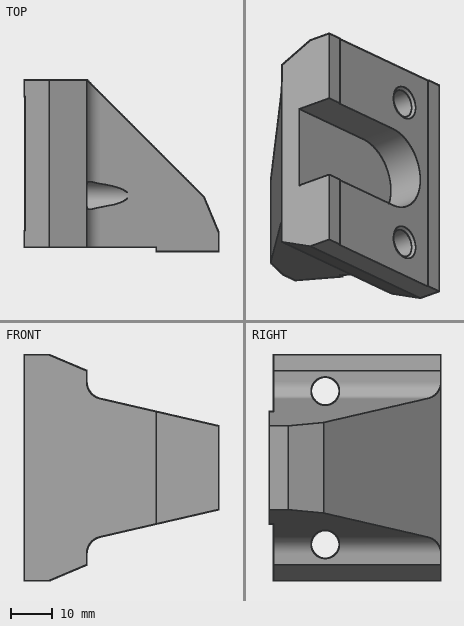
import cadquery as cq
import math

length = 46.5
depth = 40.0
height = 54.0

flange_thickness = 15.0
flange_edge_flat = 6.0
flange_bevel_angle = 23.0

nose_height = 20.0
nose_taper_angle = 13.0
root_radius = 4.0

bevel_corner_x = 43.0
back_bevel_angle = 45.0
tip_bevel_angle = 22.5

pad_length = 15.0
pad_thickness = 1.0

relief_depth = 0.2
contact_strip_width = 4.0

slot_width = 20.0
slot_depth = 9.5
slot_end_y = 6.7

hole_diameter = 6.65
countersink_diameter = 8.0
hole_y = 12.4
hole_spacing = 36.6


def slope(angle):
    return math.tan(math.radians(angle))


def make_profile():
    """Flange and nose outline, extruded over the full depth including the pad."""
    edge_z = height / 2
    bevel_z = edge_z - (flange_thickness - flange_edge_flat) * slope(flange_bevel_angle)
    nose_z = nose_height / 2
    root_z = nose_z + (length - flange_thickness) * slope(nose_taper_angle)
    upper_half = [
        (0, edge_z),
        (flange_edge_flat, edge_z),
        (flange_thickness, bevel_z),
        (flange_thickness, root_z),
        (length, nose_z),
    ]
    lower_half = [(x, -z) for x, z in reversed(upper_half)]
    body = (
        cq.Workplane("XZ", origin=(0, depth, 0))
        .polyline(upper_half + lower_half)
        .close()
        .extrude(depth + pad_thickness)
    )
    margin = root_radius / 2
    root_corners = cq.selectors.BoxSelector(
        (flange_thickness - margin, -pad_thickness, -root_z - margin),
        (flange_thickness + margin, depth, root_z + margin),
    )
    return body.edges("|Y").edges(root_corners).fillet(root_radius)


def make_plan():
    """Outline seen along Z: bevelled far side, front pad and relieved mounting face."""
    bevel_corner_y = depth - (bevel_corner_x - flange_thickness) * slope(back_bevel_angle)
    tip_y = bevel_corner_y - (length - bevel_corner_x) / slope(tip_bevel_angle)
    pad_start_x = length - pad_length
    outline = [
        (0, 0),
        (pad_start_x, 0),
        (pad_start_x, -pad_thickness),
        (length, -pad_thickness),
        (length, tip_y),
        (bevel_corner_x, bevel_corner_y),
        (flange_thickness, depth),
        (0, depth),
        (0, depth - contact_strip_width),
        (relief_depth, depth - contact_strip_width),
        (relief_depth, contact_strip_width),
        (0, contact_strip_width),
    ]
    return cq.Workplane("XY").polyline(outline).close().extrude(height / 2, both=True)


def make_slot():
    radius = slot_width / 2
    center_y = slot_end_y + radius
    return (
        cq.Workplane("YZ")
        .moveTo(depth, radius)
        .lineTo(center_y, radius)
        .threePointArc((slot_end_y, 0), (center_y, -radius))
        .lineTo(depth, -radius)
        .close()
        .extrude(slot_depth)
    )


def make_hole(z):
    """Countersunk hole, running on as a groove in the sloping side of the nose."""
    radius = hole_diameter / 2
    mouth_radius = countersink_diameter / 2
    countersink_end_x = relief_depth + mouth_radius - radius
    half_section = [
        (0, 0),
        (0, mouth_radius),
        (relief_depth, mouth_radius),
        (countersink_end_x, radius),
        (length, radius),
        (length, 0),
    ]
    return (
        cq.Workplane("XY")
        .polyline(half_section)
        .close()
        .revolve(360, (0, 0), (1, 0))
        .translate((0, hole_y, z))
    )


result = make_profile().intersect(make_plan()).cut(make_slot())
for hole_z in (-hole_spacing / 2, hole_spacing / 2):
    result = result.cut(make_hole(hole_z))